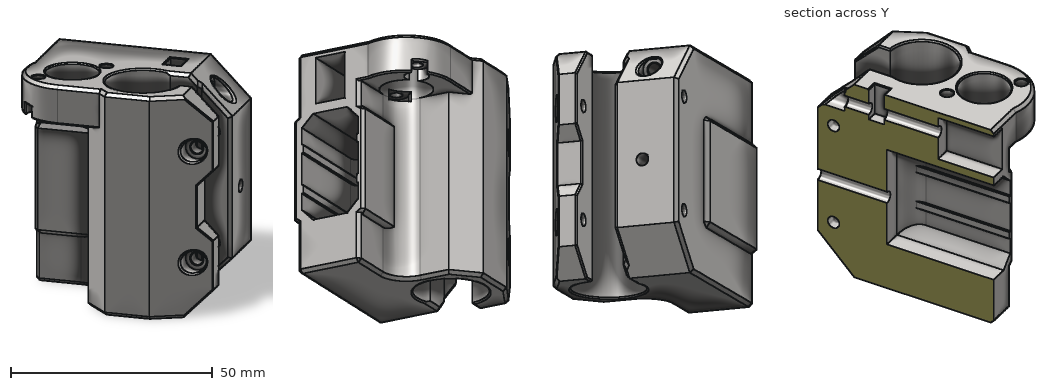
import cadquery as cq
import math

HEIGHT = 58.0
RIGHT_X = 20.0
LEFT_X = -30.7
BODY_BACK_Y = 26.35
EDGE_CHAMFER = 0.9
SMALL_CHAMFER = 0.4

BEARING_RADIUS = 9.5
CLAMP_FRONT_Y = -12.6
CLAMP_FLAT_LEFT_X = -6.0
CLAMP_FLAT_RIGHT_X = 5.7
JAW_TIP_Y = -5.5
JAW_INNER_Y = -0.6
JAW_CORNER_CUT = 7.0
JAW_RIM_CHAMFER = 0.25
NOTCH_DEPTH = 3.65
NOTCH_FLOOR_HEIGHT = 10.9
NOTCH_CENTER_Z = HEIGHT / 2

REAR_CORNER_CUT = 10.5
SLIT_WALL_Y = 8.45
SLIT_STEP = 0.95
SLIT_STEP_X = 11.4
REAR_SEAM_X = -5.0

NUT_X = -19.0
NUT_Y = 1.9
NUT_BORE_RADIUS = 13.4 / 2
NUT_BORE_CHAMFER = 0.35
BODY_FRONT_Y = NUT_Y + NUT_BORE_RADIUS
CLAMP_LEFT_X = NUT_X + NUT_BORE_RADIUS
FLANGE_RADIUS = 12.5
FLANGE_BOTTOM_Z = 48.0
NUT_SCREW_RADIUS = 9.5
SCREW_DIAMETER = 3.2
SCREW_CHAMFER = 0.2
NUT_POCKET_DIAMETER = 6.2
OUTER_NUT_TOP_Z = 51.0
INNER_NUT_TOP_Z = 50.0
OUTER_SLOT_WIDTH = 4.1
OUTER_SLOT_RISE = 0.5
OUTER_SCREW_ANGLE = 225
INNER_SCREW_ANGLE = 45
INNER_HOLE_BOTTOM_Z = 44.0
INNER_SLOT_WIDTH = 5.75
INNER_NUT_BOTTOM_Z = 47.4

FRONT_PAD_HEIGHT = 1.15
BACK_PAD_HEIGHT = 1.25
PAD_BEVEL = 1.35
PAD_TOP_Z = 41.7
FRONT_PAD_BOTTOM_Z = 12.5
BACK_PAD_BOTTOM_Z = 13.2
BACK_PAD_RIGHT_X = 2.7
POCKET_Y = 17.05
POCKET_Z = 27.4
POCKET_WIDTH = 16.0
POCKET_HEIGHT = 28.2
POCKET_CORNER = 3.2
POCKET_END_X = 0.0
RIB_HEIGHT = 0.4
RIB_BEVEL = 0.2
RIB_WIDTH = 2.4
RIB_SPACING = 10.7
TENSION_Y = 17.0
UPPER_SCREW_Z = 52.0
LOWER_SCREW_Z = 27.3
WINDOW_WIDTH = 8.3
WINDOW_BOTTOM_Z = 44.0
WINDOW_TOP_Z = 56.2
WINDOW_DEPTH = 16.0
NUT_TRAP_X = 3.05
NUT_TRAP_LENGTH = 4.4
NUT_TRAP_WIDTH = 5.7
NUT_TRAP_CHAMFER = 0.25
NUT_TRAP_BOTTOM_Z = 49.0

HEAD_DIAMETER = 5.8
HEAD_BEVEL = 0.45
HEAD_DEPTH = 3.2
CLAMP_SCREW_X = 15.45
CLAMP_SCREW_SPACING = 29.0

TOLERANCE = 1e-6
OVERLAP_Y = 15.0


def box(x0, x1, y0, y1, z0, z1):
    """Axis-aligned box between two opposite corners."""
    return cq.Workplane("XY").box(x1 - x0, y1 - y0, z1 - z0, centered=False).translate((x0, y0, z0))


def cylinder(center, direction, radius, length):
    return cq.Workplane(cq.Solid.makeCylinder(radius, length, cq.Vector(*center), cq.Vector(*direction)))


def corner_cut(size, y0, y1):
    """Two wedges that take 45 degree corners off the right end, at the top and the bottom."""
    bottom = [(RIGHT_X - size, 0), (RIGHT_X, size), (RIGHT_X, 0)]
    top = [(x, HEIGHT - z) for x, z in bottom]
    wedges = cq.Workplane("XZ", origin=(0, y1, 0)).polyline(bottom).close().extrude(y1 - y0)
    return wedges.union(cq.Workplane("XZ", origin=(0, y1, 0)).polyline(top).close().extrude(y1 - y0))


def left_rear_block():
    """Plain block behind the lead screw, chamfered all round except where it meets the right one."""
    block = box(LEFT_X, REAR_SEAM_X, BODY_FRONT_Y, BODY_BACK_Y, 0, HEIGHT)
    return block.edges("(not >X)").chamfer(EDGE_CHAMFER)


def right_rear_block():
    """Block behind the clamp, with sloped right corners."""
    block = box(REAR_SEAM_X, RIGHT_X, SLIT_WALL_Y + SLIT_STEP, BODY_BACK_Y, 0, HEIGHT)
    block = block.cut(corner_cut(REAR_CORNER_CUT, 0, BODY_BACK_Y))
    return block.faces("<Y or >Y").edges("not <X").chamfer(EDGE_CHAMFER)


def slit_lip():
    """Raised part of the slit wall next to the bearing, ending in a 45 degree step."""
    run = OVERLAP_Y - SLIT_WALL_Y
    outline = [
        (REAR_SEAM_X, SLIT_WALL_Y),
        (SLIT_STEP_X, SLIT_WALL_Y),
        (SLIT_STEP_X + run, OVERLAP_Y),
        (REAR_SEAM_X, OVERLAP_Y),
    ]
    lip = cq.Workplane("XY").polyline(outline).close().extrude(HEIGHT)
    lip = lip.cut(corner_cut(REAR_CORNER_CUT, 0, BODY_BACK_Y))
    wall_edges = lip.faces("<Y").edges("not (|Z)")
    step_edges = lip.faces(cq.selectors.DirectionMinMaxSelector(cq.Vector(1, -1, 0), True)).edges("not (|Z)")
    return lip.newObject(wall_edges.vals() + step_edges.vals()).chamfer(EDGE_CHAMFER)


def clamp_body():
    """Front body around the bearing, hollowed on its left flank around the lead screw."""
    arc_offset = NUT_BORE_RADIUS * math.sqrt(0.5)
    slope_drop = CLAMP_FLAT_LEFT_X - CLAMP_LEFT_X
    inner_x = 3.0
    body = (
        cq.Workplane("XY")
        .moveTo(NUT_X, BODY_FRONT_Y)
        .threePointArc((NUT_X + arc_offset, NUT_Y + arc_offset), (CLAMP_LEFT_X, NUT_Y))
        .lineTo(CLAMP_LEFT_X, CLAMP_FRONT_Y + slope_drop)
        .lineTo(CLAMP_FLAT_LEFT_X, CLAMP_FRONT_Y)
        .lineTo(CLAMP_FLAT_RIGHT_X, CLAMP_FRONT_Y)
        .lineTo(RIGHT_X, JAW_TIP_Y)
        .lineTo(RIGHT_X, JAW_INNER_Y)
        .lineTo(inner_x, JAW_INNER_Y)
        .lineTo(inner_x, OVERLAP_Y)
        .lineTo(NUT_X, OVERLAP_Y)
        .close()
        .extrude(HEIGHT)
    )
    outer = []
    for edge in body.faces("<Z or >Z").edges().vals():
        middle = edge.Center()
        on_front = middle.y < JAW_INNER_Y - TOLERANCE and middle.x < RIGHT_X - TOLERANCE
        if on_front or edge.geomType() == "CIRCLE":
            outer.append(edge)
    body = body.newObject(outer).chamfer(EDGE_CHAMFER)
    body = body.cut(corner_cut(JAW_CORNER_CUT, CLAMP_FRONT_Y, JAW_INNER_Y))
    body = body.cut(jaw_notch())
    slope_normal = cq.Vector(JAW_TIP_Y - CLAMP_FRONT_Y, CLAMP_FLAT_RIGHT_X - RIGHT_X, 0)
    slope = body.faces(cq.selectors.DirectionMinMaxSelector(slope_normal, True))
    rim = [
        edge for edge in slope.edges().vals()
        if edge.Center().x > CLAMP_FLAT_RIGHT_X + TOLERANCE
        and abs(edge.Vertices()[0].Z - edge.Vertices()[-1].Z) > TOLERANCE
    ]
    body = body.newObject(rim).chamfer(JAW_RIM_CHAMFER)
    inner_edges = [
        edge for edge in body.edges().vals()
        if abs(edge.Center().y - JAW_INNER_Y) < TOLERANCE
        and edge.Center().x > inner_x + TOLERANCE
        and abs(edge.Vertices()[0].Y - edge.Vertices()[-1].Y) < TOLERANCE
    ]
    return body.newObject(inner_edges).chamfer(SMALL_CHAMFER)


def jaw_notch():
    """Trapezoidal notch in the middle of the jaw tip."""
    half_floor = NOTCH_FLOOR_HEIGHT / 2
    half_mouth = half_floor + NOTCH_DEPTH
    outline = [
        (RIGHT_X, NOTCH_CENTER_Z - half_mouth),
        (RIGHT_X - NOTCH_DEPTH, NOTCH_CENTER_Z - half_floor),
        (RIGHT_X - NOTCH_DEPTH, NOTCH_CENTER_Z + half_floor),
        (RIGHT_X, NOTCH_CENTER_Z + half_mouth),
    ]
    length = JAW_INNER_Y - CLAMP_FRONT_Y
    return cq.Workplane("XZ", origin=(0, JAW_INNER_Y, 0)).polyline(outline).close().extrude(length)


def nut_flange():
    """Round-nosed plate at the top that carries the lead screw nut."""
    front_y = NUT_Y - FLANGE_RADIUS
    nose_offset = FLANGE_RADIUS * math.sqrt(0.5)
    nose_top_y = NUT_Y + math.sqrt(FLANGE_RADIUS ** 2 - (NUT_X - LEFT_X) ** 2)
    slope_x = CLAMP_FLAT_LEFT_X - (front_y - CLAMP_FRONT_Y)
    flange = (
        cq.Workplane("XY", origin=(0, 0, FLANGE_BOTTOM_Z))
        .moveTo(LEFT_X, OVERLAP_Y)
        .lineTo(LEFT_X, nose_top_y)
        .threePointArc((NUT_X - nose_offset, NUT_Y - nose_offset), (NUT_X, front_y))
        .lineTo(slope_x, front_y)
        .lineTo(slope_x, OVERLAP_Y)
        .close()
        .extrude(HEIGHT - FLANGE_BOTTOM_Z)
    )
    top_edges = [
        edge for edge in flange.faces(">Z").edges().vals()
        if edge.Center().x < slope_x - TOLERANCE and edge.Center().y < OVERLAP_Y - TOLERANCE
    ]
    flange = flange.newObject(top_edges).chamfer(EDGE_CHAMFER)
    bottom_edges = [
        edge for edge in flange.faces("<Z").edges().vals()
        if edge.Center().x < slope_x - TOLERANCE and edge.Center().y < OVERLAP_Y - TOLERANCE
    ]
    return flange.newObject(bottom_edges).chamfer(SMALL_CHAMFER)


def bevel_pad(pad, face):
    """Cut the left corner of a pad's outer face, then bevel all its other edges round that face."""
    pad = pad.faces(face).edges("<X").chamfer(EDGE_CHAMFER)
    corner = pad.faces(face).edges("<X").val().Center()
    rim = [
        edge for edge in pad.edges("not |Z").vals()
        if abs(edge.Center().y - corner.y) < EDGE_CHAMFER - TOLERANCE
    ]
    return pad.newObject(rim).chamfer(PAD_BEVEL)


def front_pad():
    """Thickened wall in front of the tensioner pocket."""
    outer_y = BODY_FRONT_Y - FRONT_PAD_HEIGHT
    pad = box(LEFT_X, CLAMP_LEFT_X, outer_y, OVERLAP_Y, FRONT_PAD_BOTTOM_Z, PAD_TOP_Z)
    return bevel_pad(pad, "<Y")


def back_pad():
    """Thickened wall behind the tensioner pocket, sloping down at its right end too."""
    outer_y = BODY_BACK_Y + BACK_PAD_HEIGHT
    pad = box(LEFT_X, BACK_PAD_RIGHT_X, OVERLAP_Y, outer_y, BACK_PAD_BOTTOM_Z, PAD_TOP_Z)
    pad = pad.faces(">Y").edges(">X").chamfer(PAD_BEVEL)
    return bevel_pad(pad, ">Y")


def stepped_turning(center, profile):
    """Solid of revolution about a vertical axis through (radius, z) points, closed along the axis."""
    outline = [(0, profile[0][1])] + profile + [(0, profile[-1][1])]
    turned = cq.Workplane("XZ").polyline(outline).close().revolve(360, (0, 0), (0, 1))
    return turned.translate((center[0], center[1], 0))


def bearing_bore():
    rim = BEARING_RADIUS + SMALL_CHAMFER
    return stepped_turning((0, 0), [
        (rim, 0),
        (BEARING_RADIUS, SMALL_CHAMFER),
        (BEARING_RADIUS, HEIGHT - SMALL_CHAMFER),
        (rim, HEIGHT),
    ])


def nut_bore():
    return stepped_turning((NUT_X, NUT_Y), [
        (NUT_BORE_RADIUS, 0),
        (NUT_BORE_RADIUS, HEIGHT - NUT_BORE_CHAMFER),
        (NUT_BORE_RADIUS + NUT_BORE_CHAMFER, HEIGHT),
    ])


def nut_screw(angle, hole_bottom, nut_bottom, nut_top):
    """Flange screw hole at an angle round the lead screw, with a round nut pocket."""
    screw_x = NUT_X + NUT_SCREW_RADIUS * math.cos(math.radians(angle))
    screw_y = NUT_Y + NUT_SCREW_RADIUS * math.sin(math.radians(angle))
    radius = SCREW_DIAMETER / 2
    hole = stepped_turning((screw_x, screw_y), [
        (radius, hole_bottom),
        (radius, HEIGHT - SCREW_CHAMFER),
        (radius + SCREW_CHAMFER, HEIGHT),
    ])
    pocket_start = (screw_x, screw_y, nut_bottom)
    pocket = cylinder(pocket_start, (0, 0, 1), NUT_POCKET_DIAMETER / 2, nut_top - nut_bottom)
    return hole.union(pocket)


def place_radially(solid, angle):
    """Turn a solid made along +X so that it points at an angle from the lead screw axis."""
    return solid.rotate((0, 0, 0), (0, 0, 1), angle).translate((NUT_X, NUT_Y, 0))


def outer_nut_slot():
    """Slot from the outer nut pocket through the flange nose, its ceiling rising at the mouth."""
    outline = [
        (NUT_SCREW_RADIUS, FLANGE_BOTTOM_Z),
        (FLANGE_RADIUS, FLANGE_BOTTOM_Z),
        (FLANGE_RADIUS, OUTER_NUT_TOP_Z + OUTER_SLOT_RISE),
        (FLANGE_RADIUS - OUTER_SLOT_RISE, OUTER_NUT_TOP_Z),
        (NUT_SCREW_RADIUS, OUTER_NUT_TOP_Z),
    ]
    slot = cq.Workplane("XZ").polyline(outline).close().extrude(OUTER_SLOT_WIDTH / 2, both=True)
    return place_radially(slot, OUTER_SCREW_ANGLE)


def inner_nut_slot():
    """Slot from the lead screw bore through which the inner nut slides into its pocket."""
    half_width = INNER_SLOT_WIDTH / 2
    slot = box(0, NUT_SCREW_RADIUS, -half_width, half_width, INNER_NUT_BOTTOM_Z, INNER_NUT_TOP_Z)
    return place_radially(slot, INNER_SCREW_ANGLE)


def tensioner_pocket():
    """Pocket with cut corners, closed by a blunted half cylinder, and ribs left on its side walls."""
    half_width = POCKET_WIDTH / 2
    length = POCKET_END_X - LEFT_X
    bottom_z = POCKET_Z - POCKET_HEIGHT / 2
    top_z = bottom_z + POCKET_HEIGHT
    near_y = POCKET_Y - half_width
    far_y = POCKET_Y + half_width
    pocket = box(LEFT_X, POCKET_END_X, near_y, far_y, bottom_z, top_z).edges("|X").chamfer(POCKET_CORNER)
    flat_half = half_width - POCKET_CORNER
    round_x = POCKET_END_X - math.sqrt(half_width ** 2 - flat_half ** 2)
    rounded = cylinder((round_x, POCKET_Y, bottom_z), (0, 0, 1), half_width, POCKET_HEIGHT)
    straight = box(LEFT_X, round_x, near_y, far_y, bottom_z, top_z)
    pocket = pocket.intersect(straight.union(rounded))
    for side in (-1, 1):
        for level in (-1, 1):
            pocket = pocket.cut(pocket_rib(side, POCKET_Z + level * RIB_SPACING / 2, length))
    return pocket


def pocket_rib(side, z, length):
    """Bevelled rib along X on one side wall of the pocket."""
    wall_y = POCKET_Y + side * POCKET_WIDTH / 2
    crest_y = wall_y - side * RIB_HEIGHT
    half_root = RIB_WIDTH / 2
    half_crest = half_root - RIB_BEVEL
    outline = [
        (wall_y, z - half_root),
        (crest_y, z - half_crest),
        (crest_y, z + half_crest),
        (wall_y, z + half_root),
    ]
    return cq.Workplane("YZ", origin=(LEFT_X, 0, 0)).polyline(outline).close().extrude(length)


def window():
    """Rectangular opening in the left wall above the tensioner pocket."""
    half_width = WINDOW_WIDTH / 2
    return box(
        LEFT_X, LEFT_X + WINDOW_DEPTH, TENSION_Y - half_width, TENSION_Y + half_width,
        WINDOW_BOTTOM_Z, WINDOW_TOP_Z,
    )


def nut_trap():
    """Rectangular trap from the top for the nut of the upper tensioner screw."""
    trap = box(
        NUT_TRAP_X - NUT_TRAP_LENGTH / 2, NUT_TRAP_X + NUT_TRAP_LENGTH / 2,
        TENSION_Y - NUT_TRAP_WIDTH / 2, TENSION_Y + NUT_TRAP_WIDTH / 2, NUT_TRAP_BOTTOM_Z, HEIGHT,
    )
    mouth = (
        cq.Workplane("XY", origin=(NUT_TRAP_X, TENSION_Y, HEIGHT))
        .rect(NUT_TRAP_LENGTH + 2 * NUT_TRAP_CHAMFER, NUT_TRAP_WIDTH + 2 * NUT_TRAP_CHAMFER)
        .extrude(-NUT_TRAP_CHAMFER, taper=45)
    )
    return trap.union(mouth)


def screw_hole(start, direction, length):
    return cylinder(start, direction, SCREW_DIAMETER / 2, length)


def head_seat(mouth, inward, face_angle, uphill):
    """Counterbore through a face tilted by face_angle, with its elliptical rim bevelled.

    `inward` is the screw direction and `uphill` the horizontal or vertical unit vector
    along which the face climbs against the screw direction.
    """
    axis = cq.Vector(*inward)
    seat = cq.Vector(*mouth) + axis * HEAD_DEPTH
    bore = cylinder(seat.toTuple(), (axis * -1).toTuple(), HEAD_DIAMETER / 2, 2 * HEAD_DEPTH)
    hole_radius = SCREW_DIAMETER / 2
    lead_in = cq.Solid.makeCone(hole_radius + SCREW_CHAMFER, hole_radius, SCREW_CHAMFER, seat, axis)

    tilt = math.radians(face_angle)
    along_face = cq.Vector(*uphill) * math.cos(tilt) - axis * math.sin(tilt)
    normal = cq.Vector(*uphill) * -math.sin(tilt) - axis * math.cos(tilt)
    radius = HEAD_DIAMETER / 2
    half_length = radius / math.cos(tilt)

    def rim_ellipse(center, growth):
        plane = cq.Plane(center.toTuple(), along_face.toTuple(), normal.toTuple())
        return cq.Workplane(plane).ellipse(half_length + growth, radius + growth).val()

    deep_center = cq.Vector(*mouth) + axis * (HEAD_BEVEL / math.cos(tilt))
    wires = [
        rim_ellipse(deep_center, 0),
        rim_ellipse(cq.Vector(*mouth), HEAD_BEVEL),
    ]
    return bore.union(cq.Workplane(lead_in)).union(cq.Workplane(cq.Solid.makeLoft(wires)))


left = left_rear_block()
right = right_rear_block()
result = left.union(right).union(slit_lip()).union(clamp_body()).union(nut_flange())
result = result.cut(nut_bore()).union(front_pad()).union(back_pad()).cut(bearing_bore())

result = result.cut(nut_screw(OUTER_SCREW_ANGLE, FLANGE_BOTTOM_Z, FLANGE_BOTTOM_Z, OUTER_NUT_TOP_Z))
result = result.cut(outer_nut_slot())
result = result.cut(nut_screw(INNER_SCREW_ANGLE, INNER_HOLE_BOTTOM_Z, INNER_NUT_BOTTOM_Z, INNER_NUT_TOP_Z))
result = result.cut(inner_nut_slot())

result = result.cut(tensioner_pocket()).cut(window()).cut(nut_trap())
reach = RIGHT_X - LEFT_X
for screw_z in (UPPER_SCREW_Z, LOWER_SCREW_Z):
    result = result.cut(screw_hole((RIGHT_X, TENSION_Y, screw_z), (-1, 0, 0), reach))
upper_mouth = (RIGHT_X - REAR_CORNER_CUT + HEIGHT - UPPER_SCREW_Z, TENSION_Y, UPPER_SCREW_Z)
result = result.cut(head_seat(upper_mouth, (-1, 0, 0), 45, (0, 0, -1)))

jaw_slope = (JAW_TIP_Y - CLAMP_FRONT_Y) / (RIGHT_X - CLAMP_FLAT_RIGHT_X)
jaw_angle = math.degrees(math.atan(jaw_slope))
clamp_mouth_y = CLAMP_FRONT_Y + jaw_slope * (CLAMP_SCREW_X - CLAMP_FLAT_RIGHT_X)
for side in (-1, 1):
    clamp_z = HEIGHT / 2 + side * CLAMP_SCREW_SPACING / 2
    start = (CLAMP_SCREW_X, CLAMP_FRONT_Y, clamp_z)
    result = result.cut(screw_hole(start, (0, 1, 0), BODY_BACK_Y - CLAMP_FRONT_Y))
    clamp_mouth = (CLAMP_SCREW_X, clamp_mouth_y, clamp_z)
    result = result.cut(head_seat(clamp_mouth, (0, 1, 0), jaw_angle, (-1, 0, 0)))